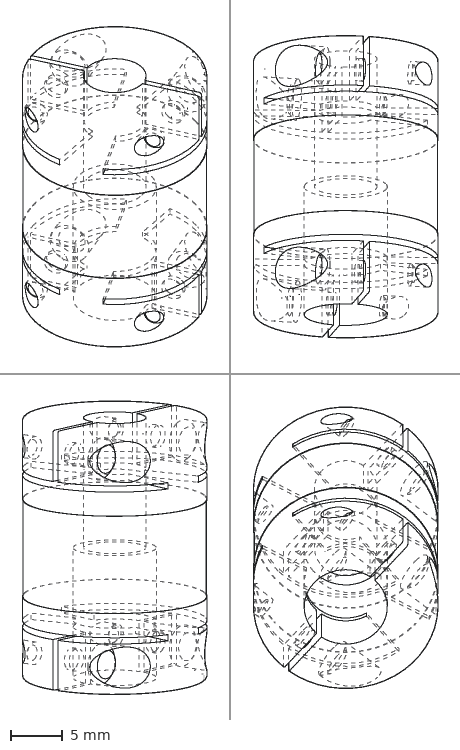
import cadquery as cq
import math

length = 25.5
outer_radius = 8.9
end_round = 0.28
sleeve_radius = 8.85
sleeve_length = 9.54
top_bore_radius = 3.0
bottom_bore_radius = 4.0

hub_length = 5.0
slot_width = 0.6
web_half_width = 2.27
web_flank_angle = 10.5
split_width = 0.6

screw_x = 6.1
screw_inset = 2.68
screw_radius = 1.1
screw_tip_y = -5.3
tip_chamfer = 0.33
head_radius = 2.01
head_top_y = 4.08
head_height = 1.28
head_chamfer = 0.65

half_length = length / 2
slot_center_z = half_length - hub_length - slot_width / 2
screw_z = half_length - screw_inset
head_seat_y = head_top_y - head_height


def y_cylinder(radius, x, z, y_start, y_end):
    """Cylinder parallel to Y between two Y positions."""
    return cq.Workplane(
        cq.Solid.makeCylinder(radius, y_end - y_start, cq.Vector(x, y_start, z), cq.Vector(0, 1, 0))
    )


def coupling_body():
    """Round body with a slightly thinner sleeve and one bore size in each half."""
    body = cq.Workplane("XY", origin=(0, 0, -half_length)).circle(outer_radius).extrude(length)
    body = body.faces("<Z or >Z").edges().fillet(end_round)
    groove = (
        cq.Workplane("XY", origin=(0, 0, -sleeve_length / 2))
        .circle(outer_radius)
        .circle(sleeve_radius)
        .extrude(sleeve_length)
    )
    top_bore = cq.Workplane("XY").circle(top_bore_radius).extrude(half_length)
    bottom_bore = cq.Workplane("XY").circle(bottom_bore_radius).extrude(-half_length)
    return body.cut(groove).cut(top_bore).cut(bottom_bore)


def flexure_slot(center_z):
    """Flat disc without the two webs, which widen outward along +Y and -Y."""
    web_end_y = math.sqrt(outer_radius**2 - web_half_width**2)
    web_root = web_half_width - web_end_y * math.tan(math.radians(web_flank_angle))
    web_tip = web_root + outer_radius * math.tan(math.radians(web_flank_angle))
    outline = [
        (-web_root, 0),
        (-web_tip, outer_radius),
        (web_tip, outer_radius),
        (web_root, 0),
        (web_tip, -outer_radius),
        (-web_tip, -outer_radius),
    ]
    plane = cq.Workplane("XY", origin=(0, 0, center_z - slot_width / 2))
    webs = plane.polyline(outline).close().extrude(slot_width)
    return plane.circle(outer_radius).extrude(slot_width).cut(webs)


def hub_split(side):
    """Gap across the hub at one end (side is +1 or -1), reaching the flexure slot."""
    depth = hub_length + slot_width / 2
    center_z = side * (half_length - depth / 2)
    return cq.Workplane("XY", origin=(0, 0, center_z)).box(2 * outer_radius, split_width, depth)


def screw_hole(x, z):
    """Stepped hole for the thread and the head, open at both outer surfaces."""
    thread_hole = y_cylinder(screw_radius, x, z, -outer_radius, head_seat_y)
    head_hole = y_cylinder(head_radius, x, z, head_seat_y, outer_radius)
    return thread_hole.union(head_hole)


def screw(x, z):
    """Screw with a chamfered tip and a chamfered head, filling its hole."""
    thread = y_cylinder(screw_radius, x, z, screw_tip_y, head_seat_y)
    thread = thread.faces("<Y").chamfer(tip_chamfer)
    head = y_cylinder(head_radius, x, z, head_seat_y, head_top_y)
    head = head.faces(">Y").chamfer(head_chamfer)
    return thread.union(head)


result = coupling_body()
for side in (1, -1):
    result = result.cut(flexure_slot(side * slot_center_z)).cut(hub_split(side))
    for x in (screw_x, -screw_x):
        result = result.cut(screw_hole(x, side * screw_z))
        result = result.union(screw(x, side * screw_z))